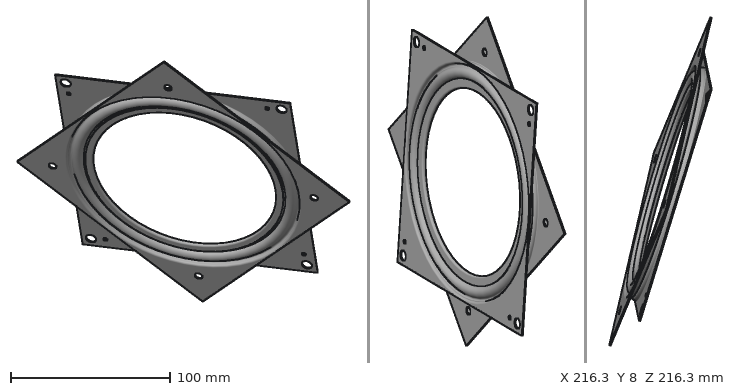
import cadquery as cq
import math


width = 216.3
depth = 8.0
mid_y = depth / 2
sheet = 1.0

front_corner_angle = 96.7
back_corner_angle = front_corner_angle - 45
tilt = math.radians(front_corner_angle - 90)
plate_side = width / (math.sqrt(2) * math.cos(tilt))

race_radius = 69.7
dome_radius = mid_y
valley_radius = 1.0
valley_y = 1.84
shoulder_radius = 1.5
valley_run = math.sqrt((dome_radius + valley_radius) ** 2 - (mid_y - valley_y) ** 2)
valley_center = race_radius + valley_run
wall_radius = valley_center + valley_radius
shoulder_center = wall_radius + shoulder_radius

flange_y = mid_y - sheet
eyelet_bore_radius = 119.0 / 2
eyelet_bend = 1.3
eyelet_bend_center = eyelet_bore_radius + eyelet_bend
eyelet_outer_radius = 123.0 / 2
eyelet_flange_radius = 129.0 / 2
crimp_y = flange_y - sheet
eyelet_back_y = mid_y + sheet

front_hole_diameter = 5.0
front_hole_radius = 85.7
large_hole_diameter = 6.7
large_hole_offset = 70.7
small_hole_diameter = 2.5
small_hole_near_side = 69.9
small_hole_along_side = 61.2


def on_circle(center, radius, angle):
    """Point of a circle in the (radius, Y) section plane; the angle is in radians."""
    return (center[0] + radius * math.cos(angle), center[1] + radius * math.sin(angle))


def race_ring():
    """Pressed ring of the front plate, from its inner flange out to the flat plate."""
    dome = (race_radius, mid_y)
    valley = (valley_center, valley_y)
    shoulder = (shoulder_center, shoulder_radius)
    tangent_angle = math.atan2(valley_y - mid_y, valley_run)
    outer_dome = dome_radius
    inner_dome = dome_radius - sheet
    deep_valley = valley_radius + sheet
    tight_shoulder = shoulder_radius - sheet
    valley_start = tangent_angle + math.pi
    valley_middle = valley_start / 2
    dome_foot = race_radius - math.sqrt(outer_dome**2 - sheet**2)
    shoulder_middle = 1.25 * math.pi
    dome_top = -math.pi / 2

    section = (
        cq.Workplane("XY")
        .moveTo(eyelet_outer_radius, flange_y)
        .lineTo(dome_foot, flange_y)
        .threePointArc(
            on_circle(dome, outer_dome, dome_top),
            on_circle(dome, outer_dome, tangent_angle),
        )
        .threePointArc(
            on_circle(valley, valley_radius, valley_middle),
            on_circle(valley, valley_radius, 0),
        )
        .lineTo(wall_radius, shoulder_radius)
        .threePointArc(
            on_circle(shoulder, shoulder_radius, shoulder_middle),
            on_circle(shoulder, shoulder_radius, dome_top),
        )
        .lineTo(shoulder_center, sheet)
        .threePointArc(
            on_circle(shoulder, tight_shoulder, shoulder_middle),
            on_circle(shoulder, tight_shoulder, math.pi),
        )
        .lineTo(wall_radius + sheet, valley_y)
        .threePointArc(
            on_circle(valley, deep_valley, valley_middle),
            on_circle(valley, deep_valley, valley_start),
        )
        .threePointArc(
            on_circle(dome, inner_dome, dome_top),
            on_circle(dome, inner_dome, math.pi),
        )
        .lineTo(eyelet_outer_radius, mid_y)
        .close()
    )
    return section.revolve(360, (0, 0, 0), (0, 1, 0))


def eyelet_ring():
    """Eyelet that fills the bore of the plates: rounded ends and a crimp flange in front."""
    front_bend = (eyelet_bend_center, crimp_y + eyelet_bend)
    back_bend = (eyelet_bend_center, eyelet_back_y - eyelet_bend)
    front_middle = 1.25 * math.pi
    back_middle = 0.75 * math.pi

    section = (
        cq.Workplane("XY")
        .moveTo(eyelet_flange_radius, crimp_y)
        .lineTo(eyelet_bend_center, crimp_y)
        .threePointArc(
            on_circle(front_bend, eyelet_bend, front_middle),
            on_circle(front_bend, eyelet_bend, math.pi),
        )
        .lineTo(eyelet_bore_radius, back_bend[1])
        .threePointArc(
            on_circle(back_bend, eyelet_bend, back_middle),
            on_circle(back_bend, eyelet_bend, math.pi / 2),
        )
        .lineTo(eyelet_outer_radius, eyelet_back_y)
        .lineTo(eyelet_outer_radius, flange_y)
        .lineTo(eyelet_flange_radius, flange_y)
        .close()
    )
    return section.revolve(360, (0, 0, 0), (0, 1, 0))


def square_sheet():
    """Flat square with its sides along X and Z, open inside the shoulder of the race."""
    return cq.Workplane("XZ").rect(plate_side, plate_side).circle(shoulder_center).extrude(-sheet)


def drill_four(plate, diameter, x, z):
    """Drill a hole at (x, z) and its three quarter-turn copies."""
    places = [(x, z), (-z, x), (-x, -z), (z, -x)]
    drills = cq.Workplane("XZ").pushPoints(places).circle(diameter / 2).extrude(-depth)
    return plate.cut(drills)


def turn_corner_to(plate, corner_angle):
    """Turn a plate about Y so that its (+X, +Z) corner lies at the given angle."""
    return plate.rotate((0, 0, 0), (0, 1, 0), 45 - corner_angle)


def make_front_plate():
    hole_offset = front_hole_radius / math.sqrt(2)
    plate = square_sheet().union(race_ring())
    plate = drill_four(plate, front_hole_diameter, hole_offset, hole_offset)
    return turn_corner_to(plate, front_corner_angle)


def make_back_plate():
    plate = square_sheet().union(race_ring()).mirror("XZ", (0, mid_y, 0))
    plate = plate.union(eyelet_ring())
    plate = drill_four(plate, large_hole_diameter, large_hole_offset, large_hole_offset)
    plate = drill_four(plate, small_hole_diameter, small_hole_along_side, small_hole_near_side)
    return turn_corner_to(plate, back_corner_angle)


front_plate = make_front_plate()
back_plate = make_back_plate()

result = cq.Compound.makeCompound([*front_plate.solids().vals(), *back_plate.solids().vals()])